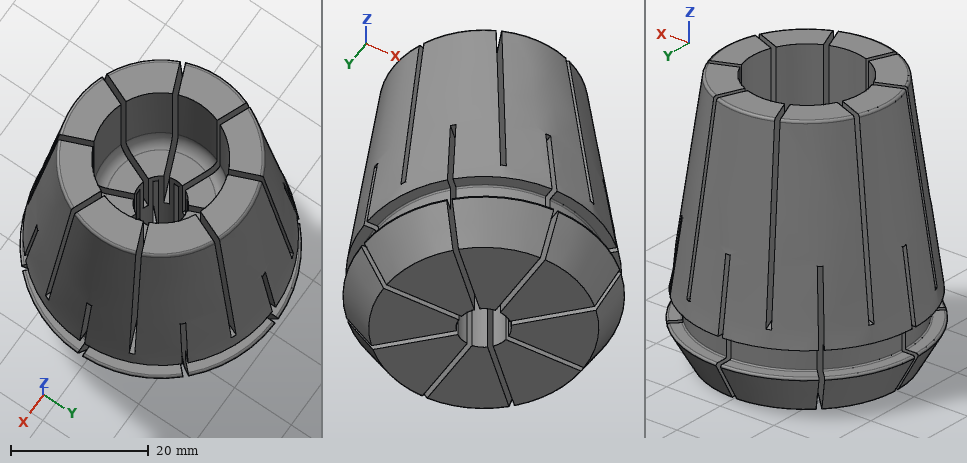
import cadquery as cq
import math

height = 46.0
flange_diameter = 40.9
flange_radius = flange_diameter / 2
bottom_radius = 16.7

flange_rim_bottom = 6.55
groove_bottom = 6.95
groove_top = 11.2
groove_radius = 18.1
taper_bottom_radius = 20.0
taper_half_angle = 8.0
flange_edge_round = 0.35
groove_corner_round = 0.25
top_edge_round = 0.45

bore_diameter = 8.0
counterbore_diameter = 20.0
counterbore_depth = 20.0
counterbore_floor_round = 2.0

slot_count = 8
slot_width = 0.85
upper_slot_floor = 14.05
lower_slot_roof = 23.9


def make_body():
    """Turned outside: flared foot, flange rim, groove and taper."""
    taper_height = height - groove_top
    top_radius = taper_bottom_radius - taper_height * math.tan(math.radians(taper_half_angle))
    body = (
        cq.Workplane("XZ")
        .moveTo(0, 0)
        .lineTo(bottom_radius, 0)
        .lineTo(flange_radius, flange_rim_bottom)
        .lineTo(flange_radius, groove_bottom - flange_edge_round)
        .radiusArc((flange_radius - flange_edge_round, groove_bottom), -flange_edge_round)
        .lineTo(groove_radius + groove_corner_round, groove_bottom)
        .radiusArc((groove_radius, groove_bottom + groove_corner_round), groove_corner_round)
        .lineTo(groove_radius, groove_top - groove_corner_round)
        .radiusArc((groove_radius + groove_corner_round, groove_top), groove_corner_round)
        .lineTo(taper_bottom_radius, groove_top)
        .lineTo(top_radius, height)
        .lineTo(0, height)
        .close()
        .revolve(360, (0, 0, 0), (0, 1, 0))
    )
    return body.faces(">Z").edges().fillet(top_edge_round)


def make_bore():
    """Through bore with a round-bottomed counterbore open at the top."""
    through_bore = cq.Workplane("XY").circle(bore_diameter / 2).extrude(height)
    counterbore = (
        cq.Workplane("XY")
        .workplane(offset=height - counterbore_depth)
        .circle(counterbore_diameter / 2)
        .extrude(counterbore_depth)
        .faces("<Z")
        .edges()
        .fillet(counterbore_floor_round)
    )
    return through_bore.union(counterbore)


def make_slots(start_angle, bottom, top):
    """Ring of radial slots that run from the axis out past the flange."""
    slot_length = flange_diameter
    slot = cq.Workplane("XY").box(
        slot_length, slot_width, top - bottom, centered=(False, True, False)
    )
    slot = slot.translate((0, 0, bottom))
    slots = cq.Workplane("XY")
    for index in range(slot_count):
        angle = start_angle + index * 360 / slot_count
        slots = slots.add(slot.rotate((0, 0, 0), (0, 0, 1), angle))
    return slots.combine()


half_pitch = 180 / slot_count
lower_slots = make_slots(0, 0, lower_slot_roof)
upper_slots = make_slots(half_pitch, upper_slot_floor, height)

result = make_body().cut(make_bore()).cut(lower_slots).cut(upper_slots)